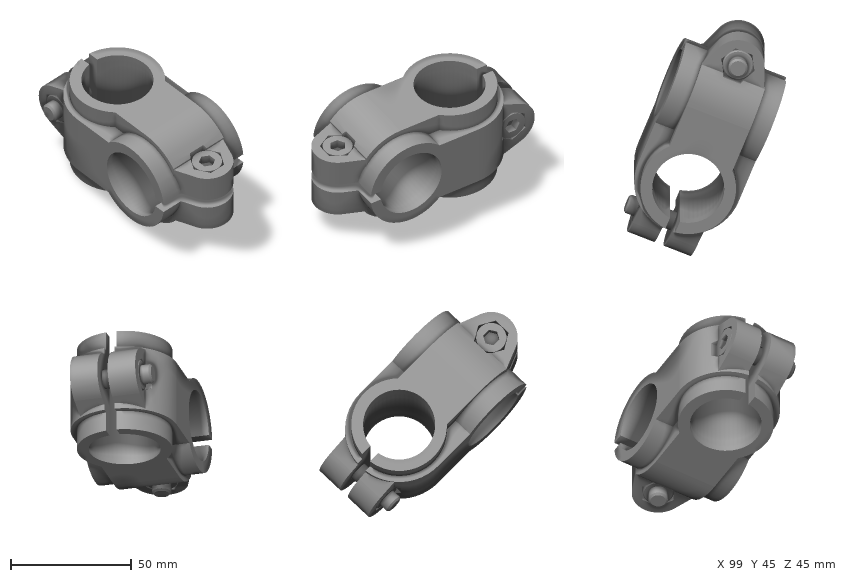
import cadquery as cq
import math


LENGTH = 99.0
BODY_WIDTH = 45.0
BODY_HEIGHT = 28.3
BORE_OFFSET = 16.5
MATE_FLAT_DISTANCE = 33.4
COLLAR_DIAMETER = 39.8
COLLAR_HEIGHT = BODY_WIDTH
BORE_DIAMETER = 30.0
SLIT_WIDTH = 4.5

LUG_RADIUS = 11.0
LUG_TAPER = math.radians(21.5)
LUG_THICKNESS = BODY_HEIGHT
BOLT_X = -(LENGTH / 2 - LUG_RADIUS)

POCKET_ACROSS_FLATS = 13.0
SCREW_HOLE_DIAMETER = 8.5
SCREW_DIAMETER = 8.0
SCREW_TIP_Y = -18.7
SCREW_TIP_CHAMFER = 0.8
HEAD_DIAMETER = 12.6
HEAD_HEIGHT = 7.9
SOCKET_ACROSS_FLATS = 6.0
SOCKET_DEPTH = 4.0
NUT_DIAMETER = 12.9
NUT_HEIGHT = 6.4
NUT_CHAMFER = 0.5

LUG_FACE_Y = LUG_THICKNESS / 2
HEAD_SEAT_Y = LUG_FACE_Y - HEAD_HEIGHT
NUT_SEAT_Y = NUT_HEIGHT - LUG_FACE_Y


def bolt_plane(y):
    """Sketch plane across the bolt axis, facing +Y, with its local x along Z."""
    return cq.Workplane(cq.Plane(origin=(BOLT_X, y, 0), xDir=(0, 0, 1), normal=(0, 1, 0)))


def hexagon(y, across_flats, length, turn=0):
    """Hexagonal prism along the bolt axis; unturned, two corners point along Z."""
    across_corners = across_flats / math.cos(math.pi / 6)
    prism = bolt_plane(y).polygon(6, across_corners).extrude(length)
    return prism.rotate((BOLT_X, 0, 0), (BOLT_X, 1, 0), turn)


def bore_cylinder(diameter, height):
    """Cylinder centred on the tube axis, with its seam on the slit side."""
    plane = cq.Plane(origin=(-BORE_OFFSET, 0, 0), xDir=(-1, 0, 0), normal=(0, 0, 1))
    return cq.Workplane(plane).circle(diameter / 2).extrude(height / 2, both=True)


def make_lug():
    """Rounded lug whose flanks open out along tangents until they reach the body height."""
    tangent_x = BOLT_X - LUG_RADIUS * math.sin(LUG_TAPER)
    tangent_z = LUG_RADIUS * math.cos(LUG_TAPER)
    root_z = BODY_HEIGHT / 2
    root_x = tangent_x + (root_z - tangent_z) / math.tan(LUG_TAPER)
    return (
        cq.Workplane("XZ")
        .moveTo(root_x, root_z)
        .lineTo(tangent_x, tangent_z)
        .threePointArc((BOLT_X - LUG_RADIUS, 0), (tangent_x, -tangent_z))
        .lineTo(root_x, -root_z)
        .close()
        .extrude(LUG_THICKNESS / 2, both=True)
    )


def make_half_blank(end_distance):
    """Body with collar and lug; its round end goes no further from X = 0 than end_distance."""
    arm = cq.Workplane("XY").box(2 * BORE_OFFSET, BODY_WIDTH, BODY_HEIGHT)
    round_end = bore_cylinder(BODY_WIDTH, BODY_HEIGHT)
    end_limit = cq.Workplane("XY").box(2 * end_distance, BODY_WIDTH, BODY_HEIGHT)
    round_end = round_end.intersect(end_limit)
    collar = bore_cylinder(COLLAR_DIAMETER, COLLAR_HEIGHT)
    return arm.union(round_end).union(collar).union(make_lug())


def make_half_cutter():
    """Tube bore, clamping slit, screw hole and the hexagonal pockets for head and nut."""
    bore = bore_cylinder(BORE_DIAMETER, COLLAR_HEIGHT)
    slit_length = LENGTH / 2 - BORE_OFFSET
    slit = cq.Workplane("XY").box(slit_length, SLIT_WIDTH, COLLAR_HEIGHT)
    slit = slit.translate((-BORE_OFFSET - slit_length / 2, 0, 0))
    hole = bolt_plane(NUT_SEAT_Y).circle(SCREW_HOLE_DIAMETER / 2).extrude(HEAD_SEAT_Y - NUT_SEAT_Y)
    pocket_length = BODY_WIDTH / 2
    head_pocket = hexagon(HEAD_SEAT_Y, POCKET_ACROSS_FLATS, pocket_length)
    nut_pocket = hexagon(NUT_SEAT_Y, POCKET_ACROSS_FLATS, -pocket_length)
    return bore.union(slit).union(hole).union(head_pocket).union(nut_pocket)


def make_fastener():
    """Socket-head screw seated in the head pocket, with its nut in the opposite pocket."""
    shank = (
        bolt_plane(HEAD_SEAT_Y)
        .circle(SCREW_DIAMETER / 2)
        .extrude(SCREW_TIP_Y - HEAD_SEAT_Y)
        .faces("<Y")
        .chamfer(SCREW_TIP_CHAMFER)
    )
    head = bolt_plane(HEAD_SEAT_Y).circle(HEAD_DIAMETER / 2).extrude(HEAD_HEIGHT)
    socket = hexagon(LUG_FACE_Y, SOCKET_ACROSS_FLATS, -SOCKET_DEPTH, turn=30)
    nut = (
        bolt_plane(NUT_SEAT_Y)
        .circle(NUT_DIAMETER / 2)
        .extrude(-NUT_HEIGHT)
        .faces("<Y")
        .chamfer(NUT_CHAMFER)
    )
    return shank.union(head.cut(socket)).union(nut)


def turned(shape):
    """The shape turned over into the place of the mating half."""
    return shape.rotate((0, 0, 0), (0, 1, 1), 180)


full_end_distance = BORE_OFFSET + BODY_WIDTH / 2
blank = make_half_blank(full_end_distance).union(turned(make_half_blank(MATE_FLAT_DISTANCE)))

cutter = make_half_cutter()
clamp = blank.cut(cutter).cut(turned(cutter))

fastener = make_fastener()
result = clamp.union(fastener).union(turned(fastener))